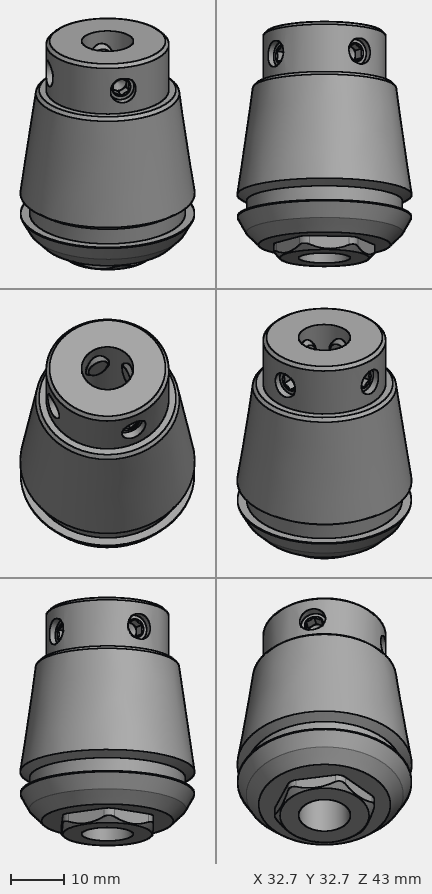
import cadquery as cq
import math

total_height = 43.0
bore_diameter = 9.68

hex_height = 2.55
hex_across_flats = 17.0
hex_corner_fillet = 2.0
hex_bottom_radius = 8.35

flange_diameter = 32.6
flange_bottom_radius = 12.35
flange_break_z = 4.9
flange_rim_z = 7.75
flange_top_z = 7.95
flange_lower_height = flange_break_z - hex_height
flange_break_radius = flange_bottom_radius + flange_lower_height

groove_diameter = 29.2
groove_top_z = 10.92

sleeve_diameter = 32.72
sleeve_bottom_z = 12.05
sleeve_top_z = 33.05
sleeve_top_radius = 13.45
sleeve_chamfer = 0.65

collar_diameter = 23.0
collar_chamfer = 0.65

screw_count = 4
screw_hole_diameter = 4.9
screw_diameter = 6.0
screw_z = 37.65
screw_tip_distance = 4.0
screw_length = 5.98
screw_tip_diameter = 4.0
screw_tip_chamfer = (screw_diameter - screw_tip_diameter) / 2
socket_across_flats = 3.0
socket_depth = 2.15
drill_point_height = 0.85
countersink_diameter = 3.55


def across_corners(across_flats):
    """Corner-to-corner width of a regular hexagon."""
    return across_flats / math.cos(math.radians(30))


def turned_body():
    """Flange, groove, sleeve and collar as one revolved outline."""
    collar_radius = collar_diameter / 2
    outline = [
        (0, hex_height),
        (flange_bottom_radius, hex_height),
        (flange_break_radius, flange_break_z),
        (flange_diameter / 2, flange_rim_z),
        (flange_diameter / 2, flange_top_z),
        (groove_diameter / 2, flange_top_z),
        (groove_diameter / 2, groove_top_z),
        (sleeve_diameter / 2, sleeve_bottom_z),
        (sleeve_top_radius, sleeve_top_z - sleeve_chamfer),
        (sleeve_top_radius - sleeve_chamfer, sleeve_top_z),
        (collar_radius, sleeve_top_z),
        (collar_radius, total_height - collar_chamfer),
        (collar_radius - collar_chamfer, total_height),
        (0, total_height),
    ]
    return cq.Workplane("XZ").polyline(outline).close().revolve(360, (0, 0), (0, 1))


def hex_drive():
    """Hex with corners on the X axis, rounded edges and a 45 degree bottom bevel."""
    prism = (
        cq.Workplane("XY")
        .polygon(6, across_corners(hex_across_flats))
        .extrude(hex_height)
        .edges("|Z")
        .fillet(hex_corner_fillet)
    )
    bevel_cone = (
        cq.Workplane("XY")
        .circle(hex_bottom_radius)
        .workplane(offset=hex_height)
        .circle(hex_bottom_radius + hex_height)
        .loft()
    )
    return prism.intersect(bevel_cone)


def screw():
    """Socket set screw along +Z, tip at the bottom and hex socket at the top."""
    shank = (
        cq.Workplane("XY")
        .circle(screw_diameter / 2)
        .extrude(screw_length)
        .faces("<Z")
        .chamfer(screw_tip_chamfer)
    )
    socket_floor = screw_length - socket_depth
    socket = (
        cq.Workplane("XY", origin=(0, 0, socket_floor))
        .polygon(6, across_corners(socket_across_flats))
        .extrude(socket_depth)
    )
    drill_point_base = cq.Vector(0, 0, socket_floor - drill_point_height)
    drill_point = cq.Solid.makeCone(0, socket_across_flats / 2, drill_point_height, drill_point_base)
    countersink_radius = countersink_diameter / 2
    countersink_base = cq.Vector(0, 0, screw_length - countersink_radius)
    countersink = cq.Solid.makeCone(0, countersink_radius, countersink_radius, countersink_base)
    return shank.cut(socket).cut(cq.Workplane(drill_point)).cut(cq.Workplane(countersink))


def place_around_collar(shape, start_radius, index):
    """Turn a +Z shape to point outwards, with its base at start_radius from the part axis."""
    return (
        shape.translate((0, 0, start_radius))
        .rotate((0, 0, 0), (0, 1, 0), 90)
        .translate((0, 0, screw_z))
        .rotate((0, 0, 0), (0, 0, 1), index * 360 / screw_count)
    )


result = turned_body().union(hex_drive())
result = result.cut(cq.Workplane("XY").circle(bore_diameter / 2).extrude(total_height))

screw_hole = cq.Workplane("XY").circle(screw_hole_diameter / 2).extrude(collar_diameter / 2)
set_screw = screw()
for index in range(screw_count):
    result = result.cut(place_around_collar(screw_hole, 0, index))
    result = result.union(place_around_collar(set_screw, screw_tip_distance, index))